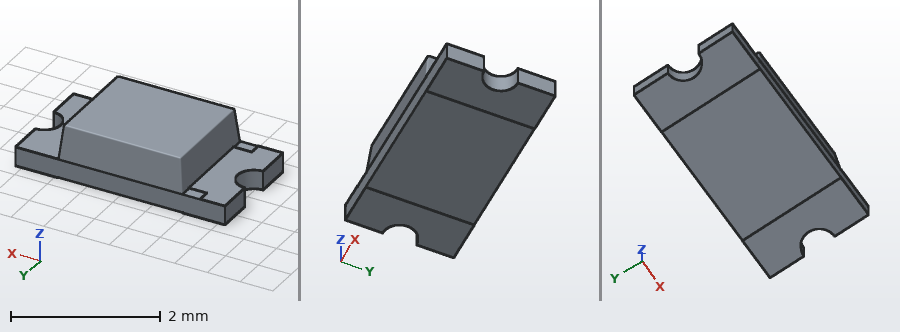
import cadquery as cq
import math

LENGTH = 3.2
WIDTH = 1.6
HEIGHT = 0.81

FOIL_THICKNESS = 0.01
BASE_HEIGHT = 0.3
BOARD_THICKNESS = BASE_HEIGHT - 2 * FOIL_THICKNESS
BOARD_TOP = FOIL_THICKNESS + BOARD_THICKNESS
NOTCH_RADIUS = 0.25

LENS_LENGTH = 1.9
LENS_WIDTH = WIDTH
LENS_INSET = 0.055
LENS_FILLET = 0.022
LENS_HEIGHT = HEIGHT - BOARD_TOP
LENS_TAPER = math.degrees(math.atan(LENS_INSET / LENS_HEIGHT))

PAD_LENGTH = (LENGTH - LENS_LENGTH) / 2
RELIEF_START = -1.222
RELIEF_END = LENS_LENGTH / 2
RELIEF_DEPTH = 0.182


def layer(length, thickness, bottom, center_x=0.0):
    """Full-width flat layer with the round end notches of the package cut away."""
    slab = (
        cq.Workplane("XY", origin=(0, 0, bottom))
        .center(center_x, 0)
        .rect(length, WIDTH)
        .extrude(thickness)
    )
    notches = (
        cq.Workplane("XY", origin=(0, 0, bottom))
        .pushPoints([(-LENGTH / 2, 0), (LENGTH / 2, 0)])
        .circle(NOTCH_RADIUS)
        .extrude(thickness)
    )
    return slab.cut(notches)


def make_board():
    return layer(LENGTH, BOARD_THICKNESS, FOIL_THICKNESS)


def make_top_foil():
    """Foil on the board, relieved along both long sides up to the far edge of the lens."""
    relief_centers = [
        ((RELIEF_START + RELIEF_END) / 2, side * (WIDTH - RELIEF_DEPTH) / 2)
        for side in (-1, 1)
    ]
    reliefs = (
        cq.Workplane("XY", origin=(0, 0, BOARD_TOP))
        .pushPoints(relief_centers)
        .rect(RELIEF_END - RELIEF_START, RELIEF_DEPTH)
        .extrude(FOIL_THICKNESS)
    )
    return layer(LENGTH, FOIL_THICKNESS, BOARD_TOP).cut(reliefs)


def make_solder_pad(end):
    """Pad under one end of the board; end is -1 or 1 along X."""
    return layer(PAD_LENGTH, FOIL_THICKNESS, 0, end * (LENGTH - PAD_LENGTH) / 2)


def make_lens(foil):
    """Tapered, rounded lens standing on the board, recessed underneath for the foil."""
    block = (
        cq.Workplane("XY", origin=(0, 0, BOARD_TOP))
        .rect(LENS_LENGTH, LENS_WIDTH)
        .extrude(LENS_HEIGHT, taper=LENS_TAPER)
    )
    rounded = block.edges("not <Z").fillet(LENS_FILLET)
    return rounded.cut(foil)


board = make_board()
top_foil = make_top_foil()
solder_pads = [make_solder_pad(end) for end in (-1, 1)]
lens = make_lens(top_foil)

result = cq.Compound.makeCompound(
    [board.val(), top_foil.val(), lens.val(), *[pad.val() for pad in solder_pads]]
)